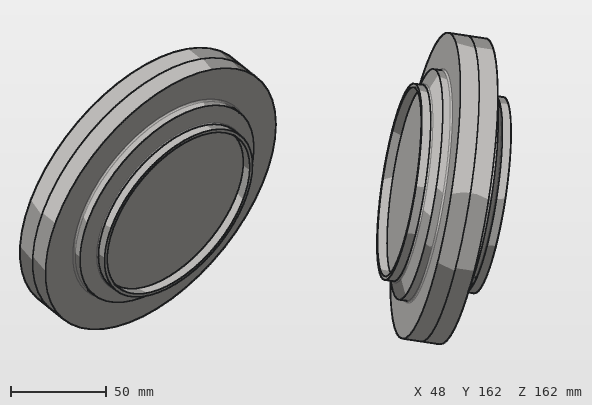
import cadquery as cq

flange_radius = 81.0
flange_thickness = 10.0
hub_radius = 61.0
hub_end = 14.9
taper_end = 18.6
lip_radius = 52.0
lip_end = 24.0
bore_radius = 50.0
bore_depth = 5.0
fillet_radius = 1.0


def flange_blank():
    """Revolve the solid stepped and tapered outline about the X axis."""
    outline = (
        cq.Workplane("XY")
        .polyline([
            (0, 0),
            (0, flange_radius),
            (flange_thickness, flange_radius),
            (flange_thickness, hub_radius),
            (hub_end, hub_radius),
            (taper_end, lip_radius),
            (lip_end, lip_radius),
            (lip_end, 0),
        ])
        .close()
    )
    return outline.revolve(360, (0, 0, 0), (1, 0, 0))


def round_inner_corners(body):
    """Fillet the hub root and the root of the weld lip."""
    tolerance = 0.02

    def circle_at(x, radius):
        return cq.selectors.BoxSelector(
            (x - tolerance, -radius - tolerance, -radius - tolerance),
            (x + tolerance, radius + tolerance, radius + tolerance),
            boundingbox=True,
        )

    body = body.edges(circle_at(flange_thickness, hub_radius)).fillet(fillet_radius)
    return body.edges(circle_at(taper_end, lip_radius)).fillet(fillet_radius)


def make_flange():
    """One flange on the +X side, with its blind bore opening at the lip end."""
    bore = (
        cq.Workplane("YZ", origin=(lip_end - bore_depth, 0, 0))
        .circle(bore_radius)
        .extrude(bore_depth)
    )
    return round_inner_corners(flange_blank()).cut(bore)


right_flange = make_flange()
left_flange = right_flange.mirror("YZ")

result = cq.Compound.makeCompound([left_flange.val(), right_flange.val()])